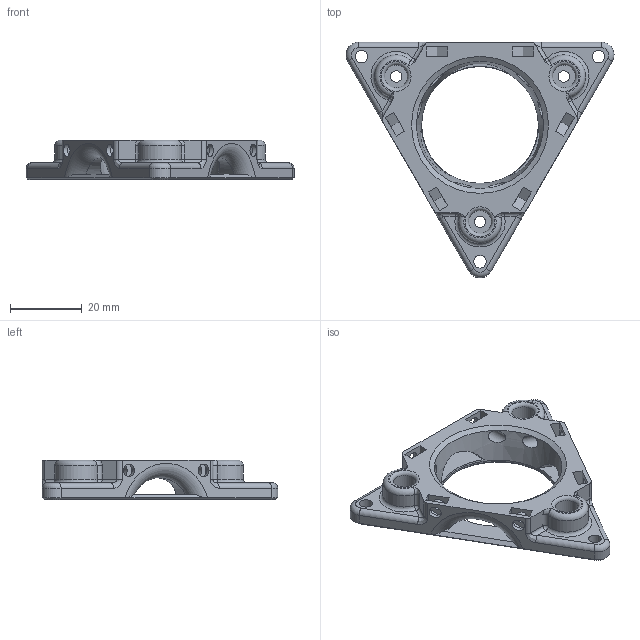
import cadquery as cq
import math

total_height = 11.0
side_distance = 23.03
corner_radius = 3.5
base_height = 4.7
cut_distance = 24.5
bottom_chamfer = 0.5
edge_round = 1.5
blend_radius = 1.0

boss_distance = 27.0
boss_radius = 6.0
boss_hole_diameter = 3.2
counterbore_diameter = 6.35
counterbore_rim_round = 1.0
corner_hole_distance = 38.1
corner_hole_diameter = 3.5

throat_radius = 16.25
throat_height = 1.0
seat_top_radius = 17.77
rim_radius = 19.07
rim_depth = 0.9

arch_radius = 10.0
arch_axis_height = -3.85
arch_flare = 4.0
arch_floor_height = 1.5
arch_sill_height = bottom_chamfer

screw_spacing = 24.0
screw_height = 8.2
screw_diameter = 3.5
nut_width = 6.0
nut_thickness = 2.7
nut_distance = 1.25

tolerance = 0.01
corner_distance = 2 * side_distance
half_side = math.sqrt(3) * side_distance
boss_round_start = total_height - edge_round
counterbore_floor = base_height
side_angles = (90, 210, 330)


def three_times(shape):
    """The shape together with its copies turned by 120 and 240 degrees about Z."""
    copies = shape
    for angle in (120, 240):
        copies = copies.union(shape.rotate((0, 0, 0), (0, 0, 1), angle))
    return copies


def corner_cylinder(distance, radius, bottom, height):
    """Upright cylinder on the line from the axis to the -Y corner."""
    return cq.Workplane("XY", origin=(0, -distance, bottom)).circle(radius).extrude(height)


def triangle(height):
    outline = [(-half_side, side_distance), (half_side, side_distance), (0, -corner_distance)]
    return cq.Workplane("XY").polyline(outline).close().extrude(height)


def make_base():
    base = triangle(base_height).edges("|Z").fillet(corner_radius)
    return base.faces("<Z").edges().chamfer(bottom_chamfer)


def make_raised_body():
    """Triangle with its corners cut off, starting inside the base to leave the bottom chamfer free."""
    cutter = cq.Workplane("XY").box(
        corner_distance, corner_distance, total_height, centered=(True, False, False)
    )
    cutter = cutter.translate((0, -cut_distance - corner_distance, 0))
    lower_trim = cq.Workplane("XY").rect(4 * half_side, 4 * half_side).extrude(base_height / 2)
    return triangle(total_height).cut(three_times(cutter)).cut(lower_trim)


def make_bosses():
    height = total_height - bottom_chamfer
    boss = corner_cylinder(boss_distance, boss_radius, bottom_chamfer, height)
    return three_times(boss.faces(">Z").edges().fillet(edge_round))


def reach_to_side(point):
    """Largest distance of a point from the axis, measured towards any of the three sides."""
    angles = [math.radians(angle) for angle in side_angles]
    return max(point.x * math.cos(a) + point.y * math.sin(a) for a in angles)


def is_concave_edge(edge):
    """Edges at the foot of the body and bosses, and where a boss leaves the body."""
    box = edge.BoundingBox()
    middle = edge.positionAt(0.5)
    if reach_to_side(middle) > side_distance - tolerance:
        return False
    if math.hypot(middle.x, middle.y) > corner_hole_distance:
        return False
    flat = box.zlen < tolerance
    at_base = abs(box.zmin - base_height) < tolerance
    at_boss_round = abs(box.zmin - boss_round_start) < tolerance
    rises_to_top = abs(box.zmax - total_height) < tolerance
    rises_to_round = abs(box.zmax - boss_round_start) < tolerance
    return (at_base and (flat or rises_to_round)) or (at_boss_round and rises_to_top)


def is_outer_edge(edge):
    """Edges on the outline that run along the base top and up the ends of the body."""
    box = edge.BoundingBox()
    if box.zmin < base_height - tolerance or box.zmin > total_height - tolerance:
        return False
    middle = edge.positionAt(0.5)
    if math.hypot(middle.x, middle.y) > corner_hole_distance:
        return True
    ends = [edge.positionAt(0.0), middle, edge.positionAt(1.0)]
    return min(reach_to_side(point) for point in ends) > side_distance - tolerance


def round_edges(shape, is_wanted, radius):
    edges = [edge for edge in shape.edges().vals() if is_wanted(edge)]
    return shape.newObject(edges).fillet(radius)


def make_opening():
    """Solid to remove for the seat, its chamfered rim and the throat below it."""
    profile = (
        cq.Workplane("XZ")
        .lineTo(throat_radius + bottom_chamfer, 0)
        .lineTo(throat_radius, bottom_chamfer)
        .lineTo(throat_radius, throat_height)
        .lineTo(seat_top_radius, total_height - rim_depth)
        .lineTo(rim_radius, total_height)
        .lineTo(0, total_height)
        .close()
    )
    return profile.revolve(360, (0, 0, 0), (0, 1, 0))


def make_arch():
    """Solid to remove for the arch in the +Y side: a flared bore above a sloping sill."""
    flare_start = side_distance - arch_flare
    mouth_radius = arch_radius + arch_flare
    diagonal = arch_flare * math.sqrt(0.5)
    flare_middle = (mouth_radius - diagonal, flare_start + diagonal)
    bore = (
        cq.Workplane("XY")
        .lineTo(arch_radius, 0)
        .lineTo(arch_radius, flare_start)
        .threePointArc(flare_middle, (mouth_radius, side_distance))
        .lineTo(0, side_distance)
        .close()
        .revolve(360, (0, 0, 0), (0, 1, 0))
        .translate((0, 0, arch_axis_height))
    )
    sill_start = side_distance - (arch_floor_height - arch_sill_height)
    above_floor = (
        cq.Workplane("YZ")
        .moveTo(0, arch_floor_height)
        .lineTo(sill_start, arch_floor_height)
        .lineTo(side_distance, arch_sill_height)
        .lineTo(side_distance, total_height)
        .lineTo(0, total_height)
        .close()
        .extrude(mouth_radius, both=True)
    )
    return bore.intersect(above_floor)


def make_screw_cutters():
    """Screw holes in the +Y side, each with a nut slot that is open at the top."""
    nut_plane = cq.Workplane("XZ", origin=(0, side_distance - nut_distance, screw_height))
    side_plane = cq.Workplane("XZ", origin=(0, side_distance, screw_height))
    places = [(-screw_spacing / 2, 0), (screw_spacing / 2, 0)]
    holes = side_plane.pushPoints(places).circle(screw_diameter / 2).extrude(side_distance)

    half_width = nut_width / 2
    shoulder = half_width / math.sqrt(3)
    slot_top = total_height - screw_height
    outline = [
        (0, -2 * shoulder),
        (half_width, -shoulder),
        (half_width, slot_top),
        (-half_width, slot_top),
        (-half_width, -shoulder),
    ]
    cutters = holes
    for x, z in places:
        slot = nut_plane.center(x, z).polyline(outline).close().extrude(nut_thickness)
        cutters = cutters.union(slot)
    return cutters


def make_corner_holes():
    """Solid to remove at the -Y corner: rounded counterbore, boss hole and corner hole."""
    bore_radius = counterbore_diameter / 2
    rim_bottom = total_height - counterbore_rim_round
    mouth_radius = bore_radius + counterbore_rim_round
    diagonal = counterbore_rim_round * math.sqrt(0.5)
    counterbore = (
        cq.Workplane("XZ")
        .moveTo(0, counterbore_floor)
        .lineTo(bore_radius, counterbore_floor)
        .lineTo(bore_radius, rim_bottom)
        .threePointArc((mouth_radius - diagonal, rim_bottom + diagonal), (mouth_radius, total_height))
        .lineTo(0, total_height)
        .close()
        .revolve(360, (0, 0, 0), (0, 1, 0))
        .translate((0, -boss_distance, 0))
    )
    boss_hole = corner_cylinder(boss_distance, boss_hole_diameter / 2, 0, total_height)
    corner_hole = corner_cylinder(corner_hole_distance, corner_hole_diameter / 2, 0, total_height)
    return counterbore.union(boss_hole).union(corner_hole)


part = make_base().union(make_raised_body()).union(make_bosses())
part = round_edges(part, is_concave_edge, blend_radius)
part = round_edges(part, is_outer_edge, edge_round)
part = part.cut(make_opening())
for cutter in (make_arch(), make_screw_cutters(), make_corner_holes()):
    part = part.cut(three_times(cutter))
result = part